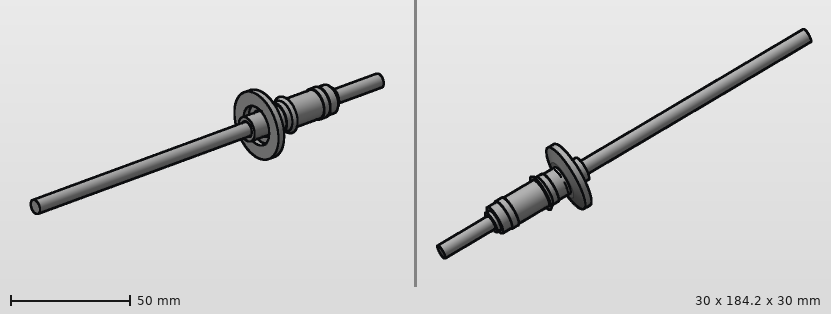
import cadquery as cq
import math


rod_diameter = 6.35
rod_length = 184.15
rod_air_end = 65.75

flange_diameter = 29.97
flange_rim_thickness = 3.1
flange_back_angle = 15.0
flange_hub_diameter = 17.2
recess_diameter = 17.4
recess_depth = 2.8

sleeve_diameter = 10.8
sleeve_end = -5.2
sleeve_bore_diameter = 6.9
sleeve_bore_depth = 1.0

annular_gap_diameter = 11.8
annular_gap_depth = 6.0

body_diameter = 12.8
body_end = 38.8
band_diameter = 13.6
weld_band_start = 11.0
weld_band_end = 13.9
flare_diameter = 16.2
flare_end = 15.7
cap_band_start = 31.1
cap_band_end = 34.4

collar_diameter = 9.5
collar_end = 40.65


def cylinder(diameter, start, end):
    """Solid cylinder on the Y axis from start to end."""
    return cq.Workplane("XZ", origin=(0, end, 0)).circle(diameter / 2).extrude(end - start)


def cone(start_diameter, end_diameter, start, end):
    """Solid truncated cone on the Y axis."""
    profile = [
        (0, start),
        (start_diameter / 2, start),
        (end_diameter / 2, end),
        (0, end),
    ]
    return cq.Workplane("XY").polyline(profile).close().revolve(360, (0, 0, 0), (0, 1, 0))


def make_flange():
    """Rim disc with a conical back that ends in a flat hub face."""
    back_height = (flange_diameter - flange_hub_diameter) / 2 * math.tan(math.radians(flange_back_angle))
    hub_face = flange_rim_thickness + back_height
    rim = cylinder(flange_diameter, 0, flange_rim_thickness)
    back = cone(flange_diameter, flange_hub_diameter, flange_rim_thickness, hub_face)
    return rim.union(back)


def make_body():
    """Tube body with the weld band, its flared lip and the cap band."""
    body = cylinder(body_diameter, 0, body_end)
    weld_band = cylinder(band_diameter, weld_band_start, weld_band_end)
    flare = cone(band_diameter, flare_diameter, weld_band_end, flare_end)
    cap_band = cylinder(band_diameter, cap_band_start, cap_band_end)
    collar = cylinder(collar_diameter, body_end, collar_end)
    return body.union(weld_band).union(flare).union(cap_band).union(collar)


def make_sleeve():
    """Insulator sleeve with a shallow counterbore around the rod."""
    sleeve = cylinder(sleeve_diameter, sleeve_end, annular_gap_depth)
    return sleeve.cut(cylinder(sleeve_bore_diameter, sleeve_end, sleeve_end + sleeve_bore_depth))


def make_rod():
    """Conductor rod over the full length of the part."""
    return cylinder(rod_diameter, rod_air_end - rod_length, rod_air_end)


def make_shell():
    """Flange and body, hollowed by the recess and the annular gap."""
    recess = cylinder(recess_diameter, 0, recess_depth)
    annular_gap = cylinder(annular_gap_diameter, 0, annular_gap_depth)
    return make_flange().union(make_body()).cut(recess).cut(annular_gap)


result = make_shell().union(make_sleeve()).union(make_rod())